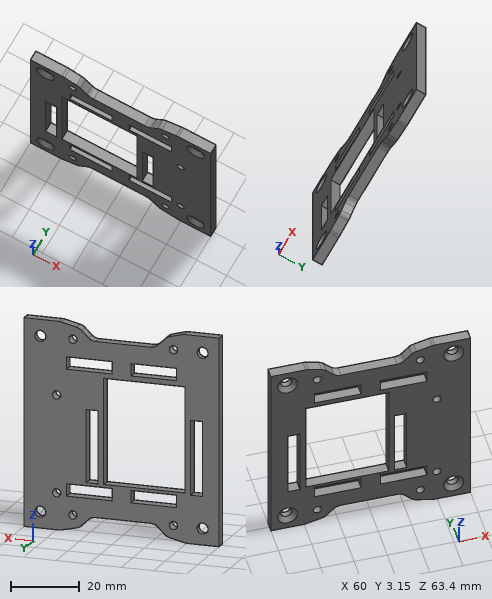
import cadquery as cq

WIDTH = 60.0
HEIGHT = 63.35
THICKNESS = 3.15

RECESS_CENTER_X = -0.5
RECESS_FLOOR_HALF = 9.75
RECESS_FLOOR_Z = 26.75
SHOULDER_HALF = 13.45
SHOULDER_Z = 30.3
RECESS_MOUTH_HALF = 19.4
TOP_LEFT_MOUTH_HALF = 18.55
BEND_RADIUS = 3.15

MOUNT_X = 24.95
HOLE_ROW_Z = 26.7
MOUNT_DIAMETER = 3.3
COUNTERSINK_DIAMETER = 6.0
COUNTERSINK_ANGLE = 90.0

PLAIN_DIAMETER = 2.5
LEFT_HOLE_X = -15.95
RIGHT_HOLE_X = 14.95
SIDE_HOLE_X = 19.95
SIDE_HOLE_UPPER_Z = 9.25
SIDE_HOLE_LOWER_Z = -20.45

SLOT_LENGTH = 14.0
SLOT_WIDTH = 3.75
SLOT_X = 9.9
SLOT_Z = 19.25

WINDOW_LEFT = -19.5
WINDOW_RIGHT = 5.45
WINDOW_TOP = 15.8
WINDOW_BOTTOM = -16.4
UPRIGHT_WIDTH = 3.6
UPRIGHT_GAP = 1.8
UPRIGHT_TOP = 5.75
LEFT_UPRIGHT_BOTTOM = -16.9


def front_plane():
    """Sketch plane on the front face: local x is X, local y is Z, normal is -Y."""
    return cq.Workplane("XZ")


def recess_points(edge_sign, left_mouth_half):
    """Corners of one edge recess, left to right; edge_sign is +1 for the top edge, -1 for the bottom."""
    profile = [
        (-left_mouth_half, HEIGHT / 2),
        (-SHOULDER_HALF, SHOULDER_Z),
        (-RECESS_FLOOR_HALF, RECESS_FLOOR_Z),
        (RECESS_FLOOR_HALF, RECESS_FLOOR_Z),
        (SHOULDER_HALF, SHOULDER_Z),
        (RECESS_MOUTH_HALF, HEIGHT / 2),
    ]
    return [(RECESS_CENTER_X + x, edge_sign * z) for x, z in profile]


def plate():
    half_width = WIDTH / 2
    half_height = HEIGHT / 2
    top_bends = recess_points(1, TOP_LEFT_MOUTH_HALF)
    bottom_bends = recess_points(-1, RECESS_MOUTH_HALF)
    outline = [(-half_width, half_height), *top_bends, (half_width, half_height)]
    outline += [(half_width, -half_height), *reversed(bottom_bends), (-half_width, -half_height)]
    body = front_plane().polyline(outline).close().extrude(-THICKNESS)

    corner_limit = half_width - BEND_RADIUS
    bends = cq.selectors.BoxSelector(
        (-corner_limit, -THICKNESS, -HEIGHT), (corner_limit, 2 * THICKNESS, HEIGHT)
    )
    return body.edges("|Y").edges(bends).fillet(BEND_RADIUS)


def opening(left, right, bottom, top):
    """Rectangular cutter through the plate."""
    center = ((left + right) / 2, (bottom + top) / 2)
    return front_plane().center(*center).rect(right - left, top - bottom).extrude(-THICKNESS)


body = plate()

mount_points = [(x, z) for x in (-MOUNT_X, MOUNT_X) for z in (-HOLE_ROW_Z, HOLE_ROW_Z)]
body = (
    body.copyWorkplane(front_plane())
    .pushPoints(mount_points)
    .cskHole(MOUNT_DIAMETER, COUNTERSINK_DIAMETER, COUNTERSINK_ANGLE)
)

plain_points = [(x, z) for x in (LEFT_HOLE_X, RIGHT_HOLE_X) for z in (-HOLE_ROW_Z, HOLE_ROW_Z)]
plain_points += [(SIDE_HOLE_X, z) for z in (SIDE_HOLE_LOWER_Z, SIDE_HOLE_UPPER_Z)]
body = body.copyWorkplane(front_plane()).pushPoints(plain_points).hole(PLAIN_DIAMETER)

slot_points = [(x, z) for x in (-SLOT_X, SLOT_X) for z in (-SLOT_Z, SLOT_Z)]
body = body.cut(front_plane().pushPoints(slot_points).rect(SLOT_LENGTH, SLOT_WIDTH).extrude(-THICKNESS))

body = body.cut(opening(WINDOW_LEFT, WINDOW_RIGHT, WINDOW_BOTTOM, WINDOW_TOP))
left_upright_edge = WINDOW_LEFT - UPRIGHT_GAP
body = body.cut(
    opening(left_upright_edge - UPRIGHT_WIDTH, left_upright_edge, LEFT_UPRIGHT_BOTTOM, UPRIGHT_TOP)
)
right_upright_edge = WINDOW_RIGHT + UPRIGHT_GAP
result = body.cut(
    opening(right_upright_edge, right_upright_edge + UPRIGHT_WIDTH, WINDOW_BOTTOM, UPRIGHT_TOP)
)